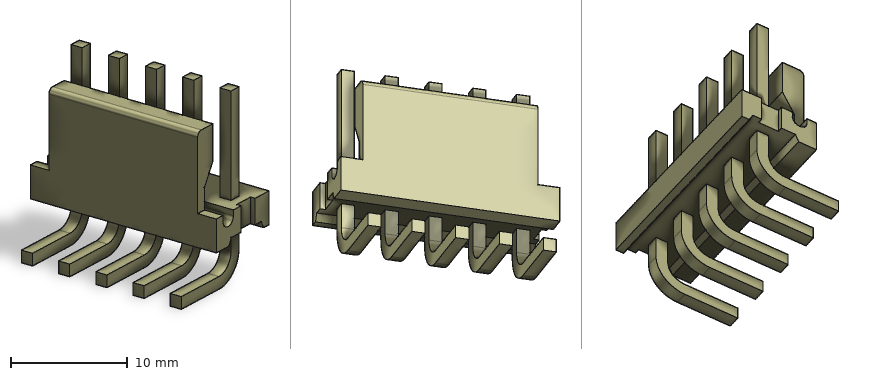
import cadquery as cq


base_length = 19.81
base_depth = 7.63
base_height = 3.17

channel_height = 0.7
channel_front = 1.82
channel_back = 6.83
channel_taper = 0.34

groove_width = 1.49
groove_depth = 1.29
groove_radius = groove_width / 2

latch_length = 15.85
latch_top = 10.8
neck_thickness = 0.97
head_thickness = 2.2
ramp_bottom = 5.27
ramp_top = 7.29
latch_edge_radius = 0.52

pin_count = 5
pin_pitch = 3.96
pin_size = 1.19
pin_y = 4.6
pin_top = 13.37
pin_bottom = -4.52
pin_tip_y = -3.17
bend_outer_radius = 2.93
bend_inner_radius = bend_outer_radius - pin_size

notch_width = 2.02
notch_depth = 0.48


def extrude_along_x(profile, length):
    """Extrude a closed YZ profile by length, centred on X = 0."""
    return profile.extrude(length / 2, both=True)


def make_base():
    groove_back = neck_thickness + groove_width
    groove_bottom = base_height - groove_depth
    groove_centre_z = groove_bottom + groove_radius
    profile = (
        cq.Workplane("YZ")
        .lineTo(channel_front, 0)
        .lineTo(channel_front + channel_taper, channel_height)
        .lineTo(channel_back - channel_taper, channel_height)
        .lineTo(channel_back, 0)
        .lineTo(base_depth, 0)
        .lineTo(base_depth, base_height)
        .lineTo(groove_back, base_height)
        .lineTo(groove_back, groove_centre_z)
        .threePointArc(
            (neck_thickness + groove_radius, groove_bottom),
            (neck_thickness, groove_centre_z),
        )
        .lineTo(neck_thickness, base_height)
        .lineTo(0, base_height)
        .close()
    )
    base = extrude_along_x(profile, base_length)
    notches = (
        cq.Workplane("XY")
        .pushPoints([(-base_length / 2, pin_y), (base_length / 2, pin_y)])
        .rect(2 * notch_depth, notch_width)
        .extrude(base_height)
    )
    return base.cut(notches)


def make_latch():
    profile = (
        cq.Workplane("YZ")
        .lineTo(neck_thickness, 0)
        .lineTo(neck_thickness, ramp_bottom)
        .lineTo(head_thickness, ramp_top)
        .lineTo(head_thickness, latch_top)
        .lineTo(0, latch_top)
        .close()
    )
    latch = extrude_along_x(profile, latch_length)
    return latch.edges("|X and <Y and >Z").fillet(latch_edge_radius)


def make_pin():
    pin_front = pin_y - pin_size / 2
    pin_back = pin_y + pin_size / 2
    run_top = pin_bottom + pin_size
    bend_y = pin_back - bend_outer_radius
    bend_z = pin_bottom + bend_outer_radius
    profile = (
        cq.Workplane("YZ")
        .moveTo(pin_front, pin_top)
        .lineTo(pin_back, pin_top)
        .lineTo(pin_back, bend_z)
        .radiusArc((bend_y, pin_bottom), bend_outer_radius)
        .lineTo(pin_tip_y, pin_bottom)
        .lineTo(pin_tip_y, run_top)
        .lineTo(bend_y, run_top)
        .radiusArc((pin_front, bend_z), -bend_inner_radius)
        .close()
    )
    return extrude_along_x(profile, pin_size)


result = make_base().union(make_latch())
pin = make_pin()
for index in range(pin_count):
    pin_x = (index - (pin_count - 1) / 2) * pin_pitch
    result = result.union(pin.translate((pin_x, 0, 0)))